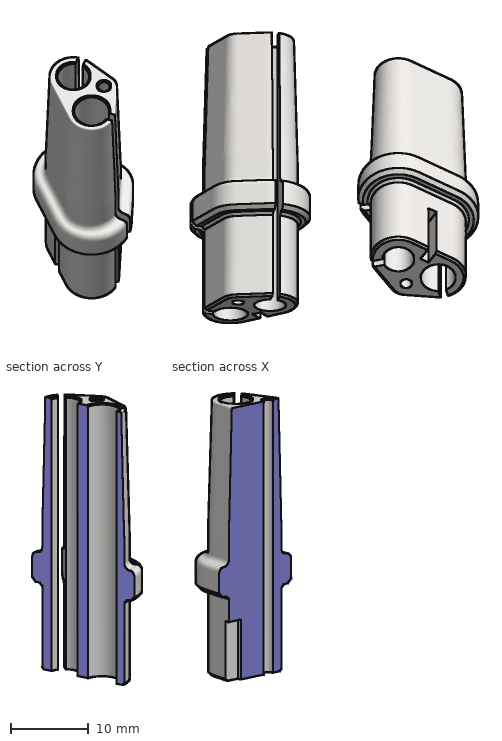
import cadquery as cq
import math

bore_offset = 3.0
small_bore_y = 3.0
left_bore_diameter = 4.1
right_bore_diameter = 4.5
small_bore_diameter = 1.5
bore_chamfer = 0.2

collar_width = 16.3
collar_depth = 11.95
collar_side_radius = collar_width / 2 - bore_offset
collar_back_radius = collar_depth - collar_side_radius - small_bore_y

collar_overhang = 1.6
collar_overlap = 0.73
end_inset = 0.47

total_height = 36.5
taper_start_z = 19.6
collar_top_z = 15.55
collar_bottom_z = 11.5

shoulder_radius = collar_overhang / 2
collar_bottom_chamfer = 0.6
root_chamfer = 0.4
bottom_chamfer = 0.3
top_fillet = 0.2

bore_slot_width = 1.0
bore_slot_angle = 45.0
key_slot_width = 1.2
key_slot_height = 8.0
key_slot_depth = 2.0


def outline(z, inset):
    """Closed envelope of the three corner circles, moved inwards from the collar outline."""
    side_radius = collar_side_radius - inset
    back_radius = collar_back_radius - inset

    center_distance = math.hypot(bore_offset, small_bore_y)
    center_angle = math.atan2(small_bore_y, -bore_offset)
    flank_normal = center_angle - math.acos((side_radius - back_radius) / center_distance)

    side_tangent_x = bore_offset + side_radius * math.cos(flank_normal)
    side_tangent_y = side_radius * math.sin(flank_normal)
    back_tangent_x = back_radius * math.cos(flank_normal)
    back_tangent_y = small_bore_y + back_radius * math.sin(flank_normal)

    side_middle_angle = (flank_normal - math.pi / 2) / 2
    side_middle_x = bore_offset + side_radius * math.cos(side_middle_angle)
    side_middle_y = side_radius * math.sin(side_middle_angle)

    return (
        cq.Workplane("XY", origin=(0, 0, z))
        .moveTo(-bore_offset, -side_radius)
        .lineTo(bore_offset, -side_radius)
        .threePointArc((side_middle_x, side_middle_y), (side_tangent_x, side_tangent_y))
        .lineTo(back_tangent_x, back_tangent_y)
        .threePointArc((0, small_bore_y + back_radius), (-back_tangent_x, back_tangent_y))
        .lineTo(-side_tangent_x, side_tangent_y)
        .threePointArc((-side_middle_x, side_middle_y), (-bore_offset, -side_radius))
        .close()
    )


def collar():
    """Collar ring: one wall section swept around the outline of the shank."""
    outer_y = -collar_side_radius
    shank_y = outer_y + collar_overhang
    round_y = outer_y + collar_overhang / 2
    inner_y = shank_y + collar_overlap

    chamfer_top_z = collar_bottom_z + collar_bottom_chamfer
    root_chamfer_z = collar_bottom_z - root_chamfer
    round_start_z = collar_top_z - shoulder_radius
    root_end_z = collar_top_z + shoulder_radius

    arc_run = shoulder_radius * math.sin(math.pi / 4)
    arc_rise = shoulder_radius * (1 - math.cos(math.pi / 4))

    section = (
        cq.Workplane("YZ", origin=(-bore_offset, 0, 0))
        .moveTo(inner_y, root_chamfer_z)
        .lineTo(shank_y, root_chamfer_z)
        .lineTo(shank_y - root_chamfer, collar_bottom_z)
        .lineTo(outer_y + collar_bottom_chamfer, collar_bottom_z)
        .lineTo(outer_y, chamfer_top_z)
        .lineTo(outer_y, round_start_z)
        .threePointArc((round_y - arc_run, collar_top_z - arc_rise), (round_y, collar_top_z))
        .threePointArc((round_y + arc_run, collar_top_z + arc_rise), (shank_y, root_end_z))
        .lineTo(inner_y, root_end_z)
        .close()
    )
    return section.sweep(outline(0, collar_overhang))


def body():
    """Straight lower shank, collar with blended shoulders, and tapered upper shank."""
    shank = outline(0, collar_overhang).extrude(taper_start_z)
    shank = shank.faces("<Z").chamfer(bottom_chamfer)

    taper_height = total_height - taper_start_z
    taper_angle = math.degrees(math.atan(end_inset / taper_height))
    upper = outline(taper_start_z, collar_overhang).extrude(taper_height, taper=taper_angle)
    upper = upper.faces(">Z").edges().fillet(top_fillet)
    return shank.union(upper).union(collar())


def bore(x, y, diameter):
    """Through bore with a chamfered mouth at the top."""
    radius = diameter / 2
    mouth_radius = radius + bore_chamfer
    return (
        cq.Workplane("XZ")
        .lineTo(radius, 0)
        .lineTo(radius, total_height - bore_chamfer)
        .lineTo(mouth_radius, total_height)
        .lineTo(0, total_height)
        .close()
        .revolve(360, (0, 0, 0), (0, 1, 0))
        .translate((x, y, 0))
    )


def bore_slot(side):
    """Full-height slot running diagonally outwards from a large bore; side is -1 or 1."""
    angle = bore_slot_angle if side > 0 else 180 - bore_slot_angle
    return (
        cq.Workplane("XY")
        .box(collar_width, bore_slot_width, total_height, centered=(False, True, False))
        .rotate((0, 0, 0), (0, 0, 1), angle)
        .translate((side * bore_offset, 0, 0))
    )


def key_slot():
    """Keyway in the flat front of the shank, open at the bottom."""
    front_y = collar_overhang - collar_side_radius
    return (
        cq.Workplane("XY")
        .box(key_slot_width, key_slot_depth, key_slot_height, centered=(True, False, False))
        .translate((0, front_y, 0))
    )


result = body()
result = result.cut(bore(-bore_offset, 0, left_bore_diameter))
result = result.cut(bore(bore_offset, 0, right_bore_diameter))
result = result.cut(bore(0, small_bore_y, small_bore_diameter))
for side in (-1, 1):
    result = result.cut(bore_slot(side))
result = result.cut(key_slot())